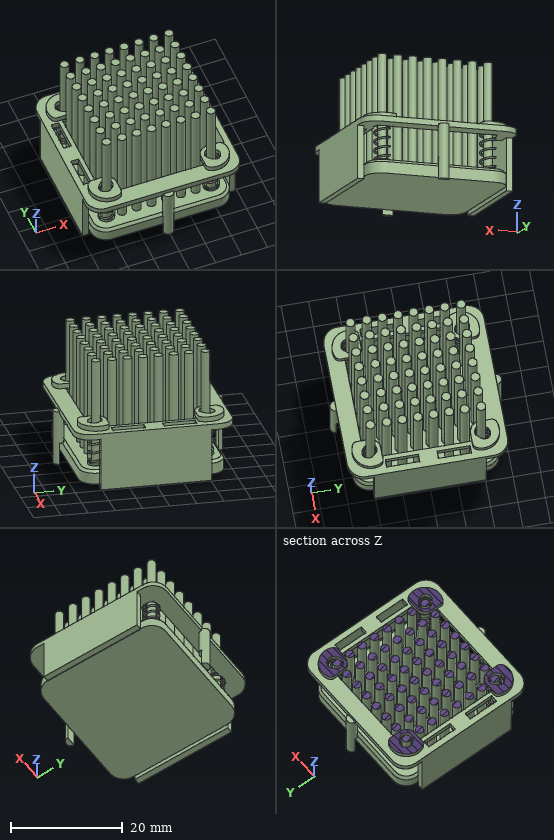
import cadquery as cq
import math


BASE_SIZE = 26.58
BASE_CORNER_RADIUS = 3.0
BASE_BOTTOM = 0.6
BASE_TOP = 3.2
BASE_CHAMFER = 0.5
PIN_DIAMETER = 1.62
PIN_TOP = 23.2
PIN_PITCH = 2.85
INNER_PIN_COUNT = 6
CORNER_PIN = 10.08

FRAME_LENGTH_X = 29.5
OVERALL_LENGTH_Y = 31.2
PLATE_BOTTOM = 9.75
PLATE_TOP = 10.83
PLATE_CORNER_RADIUS = 3.0
WINDOW_SIZE = 22.65

LEG_THICKNESS = 1.2
LEG_WIDTH = 20.35
POST_DIAMETER = 2.0
POST_TOP = 10.15
POST_STEP = 4.02
PLATE_LENGTH_Y = OVERALL_LENGTH_Y - POST_DIAMETER

SLOT_WIDTH = 1.45
SLOT_LENGTH = 6.0
SLOT_CENTRE_Y = 4.7
SLOT_CENTRE_X = FRAME_LENGTH_X / 2 - LEG_THICKNESS - SLOT_WIDTH / 2

BOSS_TOP = 11.75
BOSS_OUTER_RADIUS = 3.3
BOSS_INNER_RADIUS = 1.95
BOSS_FILLET = 1.0
PIN_SLOT_RADIUS = 1.15
PIN_SLOT_SHIFT = 0.45

SPRING_DIAMETER = 3.0
WIRE_DIAMETER = 0.3
SPRING_POCKET_DIAMETER = 3.12
CLOSED_TURNS = 1.2
CLOSED_PITCH = 0.35
ACTIVE_TURNS = 3.9
SPRING_START_ANGLE = 85.0
POINTS_PER_TURN = 16

CORNERS = 4
CORNER_ANGLE = 360.0 / CORNERS


def block(size_x, size_y, bottom, top):
    """Box centred on the Z axis between two heights."""
    return cq.Workplane("XY", origin=(0, 0, bottom)).rect(size_x, size_y).extrude(top - bottom)


def cylinder(x, y, radius, bottom, top):
    return cq.Workplane("XY", origin=(x, y, bottom)).circle(radius).extrude(top - bottom)


def at_corners(shape):
    """The four copies of a shape, turned about the Z axis from corner to corner."""
    return [shape.rotate((0, 0, 0), (0, 0, 1), k * CORNER_ANGLE) for k in range(CORNERS)]


def make_heat_sink():
    base = block(BASE_SIZE, BASE_SIZE, BASE_BOTTOM, BASE_TOP)
    base = base.edges("|Z").fillet(BASE_CORNER_RADIUS)
    base = base.faces(">Z").chamfer(BASE_CHAMFER)

    inner_rows = [(i - (INNER_PIN_COUNT - 1) / 2) * PIN_PITCH for i in range(INNER_PIN_COUNT)]
    rows = [-CORNER_PIN, *inner_rows, CORNER_PIN]
    pin_centres = [(x, y) for x in rows for y in rows]
    pins = (
        cq.Workplane("XY", origin=(0, 0, BASE_TOP))
        .pushPoints(pin_centres)
        .circle(PIN_DIAMETER / 2)
        .extrude(PIN_TOP - BASE_TOP)
    )
    return base.union(pins)


def make_plate():
    plate = block(FRAME_LENGTH_X, PLATE_LENGTH_Y, PLATE_BOTTOM, PLATE_TOP)
    plate = plate.edges("|Z").fillet(PLATE_CORNER_RADIUS)
    plate = plate.cut(block(WINDOW_SIZE, WINDOW_SIZE, PLATE_BOTTOM, PLATE_TOP))
    slots = (
        cq.Workplane("XY", origin=(0, 0, PLATE_BOTTOM))
        .rarray(2 * SLOT_CENTRE_X, 2 * SLOT_CENTRE_Y, 2, 2)
        .rect(SLOT_WIDTH, SLOT_LENGTH)
        .extrude(PLATE_TOP - PLATE_BOTTOM)
    )
    return plate.cut(slots)


def make_leg(side):
    """Flat leg flush with one X edge of the plate."""
    leg = block(LEG_THICKNESS, LEG_WIDTH, 0, PLATE_BOTTOM)
    return leg.translate((side * (FRAME_LENGTH_X - LEG_THICKNESS) / 2, 0, 0))


def make_post(side):
    """Round post on one Y edge of the plate, cut to its outer half near the foot."""
    post = cylinder(0, side * PLATE_LENGTH_Y / 2, POST_DIAMETER / 2, 0, POST_TOP)
    return post.cut(block(POST_DIAMETER, PLATE_LENGTH_Y, 0, POST_STEP))


def make_boss():
    """Boss at the -X -Y corner: a disc about the pin, cut square towards the axis."""
    disc = cylinder(-CORNER_PIN, -CORNER_PIN, BOSS_OUTER_RADIUS, PLATE_TOP, BOSS_TOP)
    square_size = BOSS_OUTER_RADIUS + BOSS_INNER_RADIUS
    square_centre = -CORNER_PIN + BOSS_INNER_RADIUS - square_size / 2
    square = block(square_size, square_size, PLATE_TOP, BOSS_TOP)
    square = square.translate((square_centre, square_centre, 0))
    square = square.edges("|Z and >X and >Y").fillet(BOSS_INNER_RADIUS)
    boss = disc.intersect(square)
    sharp_corners = boss.edges("|Z").edges(">(1, -1, 0) or <(1, -1, 0)")
    return sharp_corners.fillet(BOSS_FILLET)


def make_pin_slot():
    """Slot through the boss that lets the corner pin pass, lengthened outward."""
    centre = -CORNER_PIN - PIN_SLOT_SHIFT / 2
    travel = PIN_SLOT_SHIFT * math.sqrt(2)
    return (
        cq.Workplane("XY", origin=(centre, centre, PLATE_TOP))
        .slot2D(travel + 2 * PIN_SLOT_RADIUS, 2 * PIN_SLOT_RADIUS, CORNER_ANGLE / 2)
        .extrude(BOSS_TOP - PLATE_TOP)
    )


def make_frame():
    frame = make_plate()
    pocket = cylinder(-CORNER_PIN, -CORNER_PIN, SPRING_POCKET_DIAMETER / 2, PLATE_BOTTOM, PLATE_TOP)
    for corner_pocket in at_corners(pocket):
        frame = frame.cut(corner_pocket)
    for side in (-1, 1):
        frame = frame.union(make_leg(side)).union(make_post(side))
    for corner_boss in at_corners(make_boss().cut(make_pin_slot())):
        frame = frame.union(corner_boss)
    return frame


def coil_height(turn):
    """Height of the wire centre after a number of turns: closed, active, closed."""
    first = BASE_TOP + WIRE_DIAMETER / 2
    last = PLATE_TOP - WIRE_DIAMETER / 2
    active_pitch = (last - first - 2 * CLOSED_TURNS * CLOSED_PITCH) / ACTIVE_TURNS
    active = min(max(turn - CLOSED_TURNS, 0), ACTIVE_TURNS)
    return first + active * active_pitch + (turn - active) * CLOSED_PITCH


def make_spring():
    """Spring around the -X -Y corner pin, between the base and the underside of the boss."""
    radius = (SPRING_DIAMETER - WIRE_DIAMETER) / 2
    turns = ACTIVE_TURNS + 2 * CLOSED_TURNS
    steps = round(turns * POINTS_PER_TURN)
    points = []
    for i in range(steps + 1):
        turn = turns * i / steps
        angle = math.radians(SPRING_START_ANGLE) + 2 * math.pi * turn
        x = -CORNER_PIN + radius * math.cos(angle)
        y = -CORNER_PIN + radius * math.sin(angle)
        points.append(cq.Vector(x, y, coil_height(turn)))
    path = cq.Edge.makeSpline(points)
    start = cq.Plane(origin=path.startPoint(), xDir=(0, 0, 1), normal=path.tangentAt(0))
    wire_path = cq.Wire.assembleEdges([path])
    return cq.Workplane(start).circle(WIRE_DIAMETER / 2).sweep(wire_path, isFrenet=True)


heat_sink = make_heat_sink()
frame = make_frame()
springs = at_corners(make_spring())

result = cq.Compound.makeCompound([heat_sink.val(), frame.val(), *[spring.val() for spring in springs]])